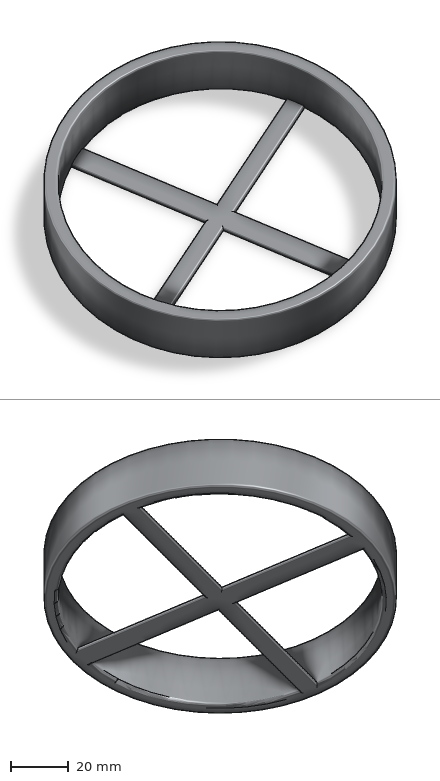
import cadquery as cq

outer_diameter = 122.5
inner_diameter = 112.5
ring_height = 22.0
top_rim_radius = 1.0
bottom_rim_radius = 1.5

x_bar_width = 8.6
y_bar_width = 7.1
bar_thickness = 2.0
bar_edge_radius = 0.9


def make_ring():
    """Plain tube with the inner and outer edges of both rims rounded."""
    tube = cq.Workplane("XY").circle(outer_diameter / 2).circle(inner_diameter / 2).extrude(ring_height)
    tube = tube.faces(">Z").edges().fillet(top_rim_radius)
    return tube.faces("<Z").edges().fillet(bottom_rim_radius)


def make_cross():
    """Two perpendicular bars with rounded upper and lower edges, ending inside the ring wall."""
    bar_length = (outer_diameter + inner_diameter) / 2
    x_bar = cq.Workplane("XY").rect(bar_length, x_bar_width).extrude(bar_thickness)
    y_bar = cq.Workplane("XY").rect(y_bar_width, bar_length).extrude(bar_thickness)
    return x_bar.union(y_bar).faces("<Z or >Z").edges().fillet(bar_edge_radius)


result = make_ring().union(make_cross())